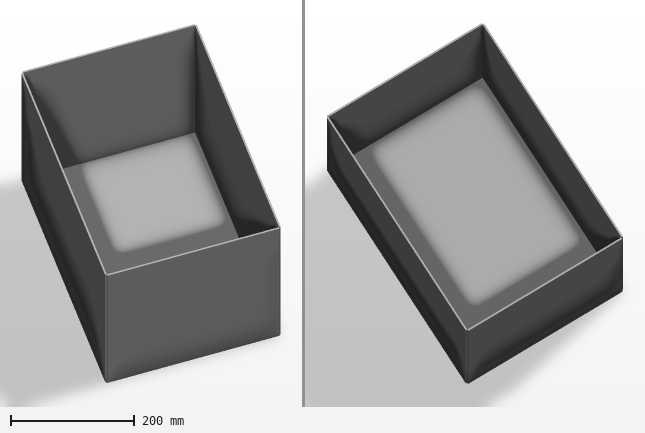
import cadquery as cq

length = 430.0
width = 300.0
height = 300.0
thickness = 3.0
inner_bend_radius = 0.65
outer_bend_radius = thickness + inner_bend_radius
corner_notch = thickness


def bent_block(size_x, size_y, size_z, bend_radius):
    """Block standing on Z = 0 with its four bottom edges rounded."""
    block = cq.Workplane("XY").box(size_x, size_y, size_z, centered=(True, True, False))
    return block.faces("<Z").edges().fillet(bend_radius)


def folded_shell():
    """Floor and four walls of even thickness, rounded where they fold."""
    outside = bent_block(length, width, height, outer_bend_radius)
    inside = bent_block(
        length - 2 * thickness,
        width - 2 * thickness,
        height,
        inner_bend_radius,
    ).translate((0, 0, thickness))
    return outside.cut(inside)


def corner_notches():
    """Square cutters, one sheet thickness wide, along the vertical box corners."""
    return (
        cq.Workplane("XY")
        .rect(length - corner_notch, width - corner_notch, forConstruction=True)
        .vertices()
        .rect(corner_notch, corner_notch)
        .extrude(height)
    )


result = folded_shell().cut(corner_notches())